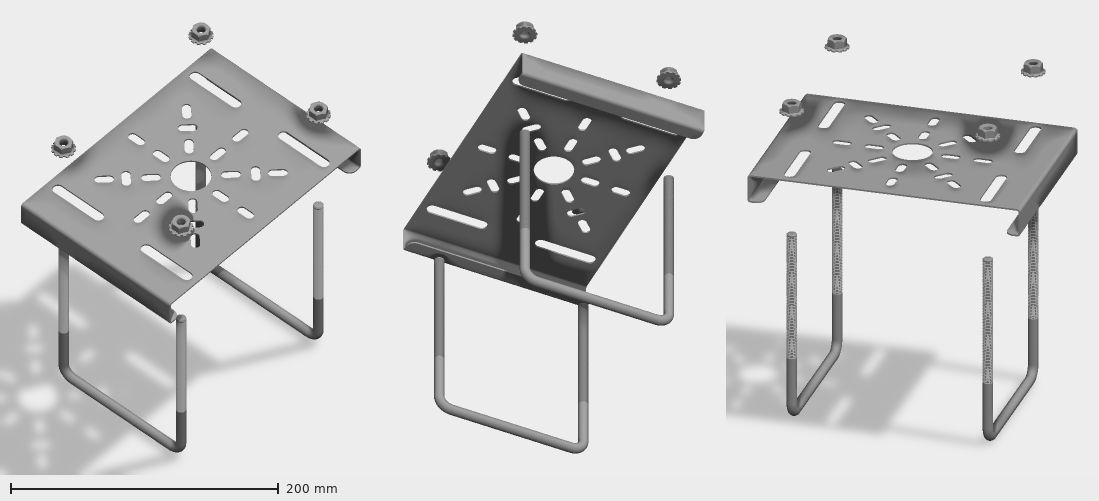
import cadquery as cq
import math

plate_length_x = 150.0
plate_width_y = 213.0
plate_height = 22.5
plate_bottom_z = 182.7
sheet_thickness = 1.3
outer_bend_radius = 2.5
lip_length = 12.0
lip_corner_radius = 6.5

center_hole_diameter = 30.5
small_slot_length = 14.7
small_slot_width = 6.8
inner_ring_radius = 30.0
axis_outer_radius = 55.0
diagonal_middle_radius = 48.5
diagonal_outer_radius = 65.0
spoke_count = 8
bolt_slot_length = 49.3
bolt_slot_width = 8.6
bolt_slot_center_x = 44.5

rod_diameter = 7.9
leg_x = 59.2
bolt_y = 76.5
bolt_height = 154.0
bend_radius = 10.0
thread_start_z = 52.0
thread_pitch = 1.25
thread_depth = 0.75
leg_end_chamfer = 0.8

total_height = 262.0
nut_height = 7.9
nut_across_flats = 12.8
nut_bore_diameter = 6.5
nut_mouth_diameter = 8.0
nut_corner_chamfer_angle = 45.0
flange_diameter = 18.5
flange_rim_height = 1.0
flange_cone_height = 1.8
rim_notch_count = 12
rim_notch_width = 1.8
rim_notch_depth = 1.0

plate_top_z = plate_bottom_z + plate_height
rod_radius = rod_diameter / 2


def through_slots(points, length, width, angle):
    """Cutters for straight slots centered on the points, their length turned by the angle."""
    return (
        cq.Workplane("XY", origin=(0, 0, plate_top_z - plate_height / 2))
        .pushPoints(points)
        .slot2D(length, width, angle)
        .extrude(plate_height)
    )


def block_along_plate(width, bottom, top):
    """A block along the plate's length, centered on Y, between two heights."""
    return cq.Workplane("XY").box(plate_length_x, width, top - bottom).translate((0, 0, (top + bottom) / 2))


def make_plate():
    inner_width = plate_width_y - 2 * sheet_thickness
    inner_bend_radius = outer_bend_radius - sheet_thickness
    outside = block_along_plate(plate_width_y, plate_bottom_z, plate_top_z).edges("|X").fillet(outer_bend_radius)
    inside = (
        block_along_plate(inner_width, plate_bottom_z + sheet_thickness, plate_top_z - sheet_thickness)
        .edges("|X")
        .fillet(inner_bend_radius)
    )
    lip_gap = block_along_plate(
        plate_width_y - 2 * lip_length, plate_bottom_z - sheet_thickness, plate_bottom_z + 2 * sheet_thickness
    )
    plate = outside.cut(inside).cut(lip_gap)

    lip_corners = cq.selectors.BoxSelector(
        (-plate_length_x, -plate_width_y / 2 + outer_bend_radius, plate_bottom_z - sheet_thickness),
        (plate_length_x, plate_width_y / 2 - outer_bend_radius, plate_bottom_z + 2 * sheet_thickness),
    )
    plate = plate.edges("|Z").edges(lip_corners).fillet(lip_corner_radius)

    center_hole = (
        cq.Workplane("XY", origin=(0, 0, plate_top_z - plate_height / 2))
        .circle(center_hole_diameter / 2)
        .extrude(plate_height)
    )
    plate = plate.cut(center_hole)

    for spoke in range(spoke_count):
        angle = spoke * 360 / spoke_count
        on_diagonal = spoke % 2 == 1
        if on_diagonal:
            rings = [(inner_ring_radius, 0), (diagonal_middle_radius, 90), (diagonal_outer_radius, 0)]
        else:
            rings = [(inner_ring_radius, 0), (axis_outer_radius, 0)]
        for radius, turn in rings:
            point = (radius * math.cos(math.radians(angle)), radius * math.sin(math.radians(angle)))
            plate = plate.cut(through_slots([point], small_slot_length, small_slot_width, angle + turn))

    bolt_slot_points = [(sx * bolt_slot_center_x, sy * bolt_y) for sx in (-1, 1) for sy in (-1, 1)]
    return plate.cut(through_slots(bolt_slot_points, bolt_slot_length, bolt_slot_width, 0))


def make_threaded_leg():
    """The upper part of a bolt leg on the Z axis: a stack of V-shaped thread rings with a chamfered end."""
    thread_length = bolt_height - thread_start_z
    root_radius = rod_radius - thread_depth
    ring_count = math.floor((thread_length - leg_end_chamfer) / thread_pitch)

    outline = [(0, 0), (rod_radius, 0)]
    for ring in range(ring_count):
        ring_bottom = ring * thread_pitch
        outline.append((root_radius, ring_bottom + thread_pitch / 2))
        outline.append((rod_radius, ring_bottom + thread_pitch))
    outline.append((rod_radius, thread_length - leg_end_chamfer))
    outline.append((rod_radius - leg_end_chamfer, thread_length))
    outline.append((0, thread_length))

    leg = cq.Workplane("XZ").polyline(outline).close().revolve(360, (0, 0), (0, 1))
    return leg.translate((0, 0, thread_start_z))


def make_u_bolt():
    bar_z = rod_radius
    bend_start_x = leg_x - bend_radius
    bend_start_z = bar_z + bend_radius
    bend_offset = bend_radius * math.sin(math.radians(45))
    path = (
        cq.Workplane("XZ")
        .moveTo(-leg_x, thread_start_z)
        .lineTo(-leg_x, bend_start_z)
        .threePointArc((-bend_start_x - bend_offset, bend_start_z - bend_offset), (-bend_start_x, bar_z))
        .lineTo(bend_start_x, bar_z)
        .threePointArc((bend_start_x + bend_offset, bend_start_z - bend_offset), (leg_x, bend_start_z))
        .lineTo(leg_x, thread_start_z)
    )
    bolt = cq.Workplane("XY", origin=(-leg_x, 0, thread_start_z)).circle(rod_radius).sweep(path)
    leg = make_threaded_leg()
    for side in (-1, 1):
        bolt = bolt.union(leg.translate((side * leg_x, 0, 0)), clean=False)
    return bolt


def make_nut():
    """A hexagon flange nut standing on Z = 0 around the Z axis, with corners toward +X and -X."""
    flat_radius = nut_across_flats / 2
    corner_radius = flat_radius / math.cos(math.radians(30))
    chamfer_drop = (corner_radius - flat_radius) * math.tan(math.radians(nut_corner_chamfer_angle))
    hexagon = cq.Workplane("XY").polygon(6, 2 * corner_radius).extrude(nut_height)
    corner_cone = (
        cq.Workplane("XZ")
        .polyline([
            (0, 0),
            (corner_radius, 0),
            (corner_radius, nut_height - chamfer_drop),
            (flat_radius, nut_height),
            (0, nut_height),
        ])
        .close()
        .revolve(360, (0, 0), (0, 1))
    )
    flange = (
        cq.Workplane("XZ")
        .polyline([
            (0, 0),
            (flange_diameter / 2, 0),
            (flange_diameter / 2, flange_rim_height),
            (flat_radius, flange_cone_height),
            (0, flange_cone_height),
        ])
        .close()
        .revolve(360, (0, 0), (0, 1))
    )
    nut = hexagon.intersect(corner_cone).union(flange)

    nut = nut.cut(cq.Workplane("XY").circle(nut_bore_diameter / 2).extrude(nut_height))
    mouth_depth = (nut_mouth_diameter - nut_bore_diameter) / 2
    nut = nut.faces(">Z").edges("%CIRCLE").edges(cq.selectors.RadiusNthSelector(0)).chamfer(mouth_depth)
    nut = nut.faces("<Z").edges(cq.selectors.RadiusNthSelector(0)).chamfer(mouth_depth)

    notch_angle = 360 / rim_notch_count
    notches = (
        cq.Workplane("XY")
        .polarArray(flange_diameter / 2, notch_angle / 2, 360, rim_notch_count)
        .rect(2 * rim_notch_depth, rim_notch_width)
        .extrude(flange_cone_height)
    )
    return nut.cut(notches)


plate = make_plate()
u_bolt = make_u_bolt()
nut = make_nut()
nut_z = total_height - nut_height

u_bolts = [u_bolt.translate((0, side * bolt_y, 0)).val() for side in (-1, 1)]
nuts = [nut.translate((sx * leg_x, sy * bolt_y, nut_z)).val() for sx in (-1, 1) for sy in (-1, 1)]

result = cq.Compound.makeCompound([plate.val(), *u_bolts, *nuts])